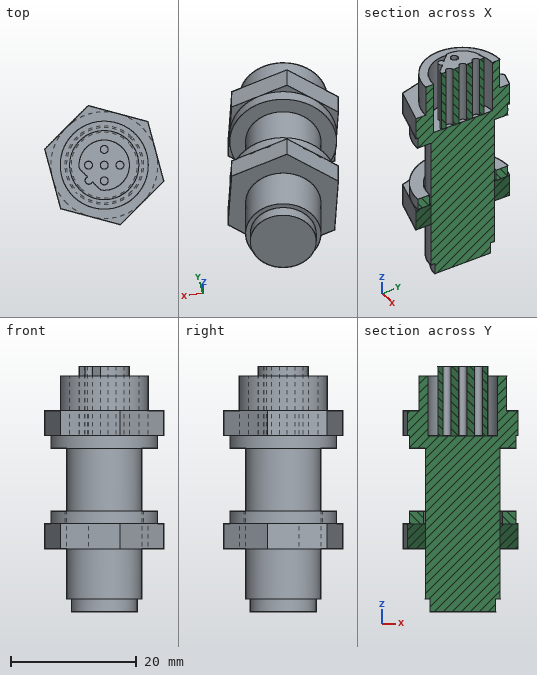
import cadquery as cq
import math

body_bottom = 2.0
nut_bottom = 10.0
hex_height = 4.0
washer_height = 2.0
flange_bottom = 26.0
collar_top = 37.5
insert_top = 39.0
nut_top = nut_bottom + hex_height
flange_top = flange_bottom + washer_height
head_top = flange_top + hex_height
socket_floor = flange_top

spigot_diameter = 10.5
body_diameter = 12.0
washer_bore = 12.5
flange_diameter = 17.0
collar_diameter = 14.0
socket_diameter = 11.0
insert_diameter = 8.0

hex_across_flats = 17.0
hex_across_corners = hex_across_flats / math.cos(math.radians(30))
hex_turn = -15.0

contact_diameter = 1.25
contact_spacing = 2.5
contact_positions = [
    (0, 0),
    (contact_spacing, 0),
    (-contact_spacing, 0),
    (0, contact_spacing),
    (0, -contact_spacing),
]
flat_distance = 3.2
key_diameter = 1.2
key_distance = 3.45
key_direction = 225.0


def cylinder(diameter, bottom, top):
    """Upright cylinder on the Z axis."""
    return cq.Workplane("XY").workplane(offset=bottom).circle(diameter / 2).extrude(top - bottom)


def hexagon(bottom):
    """Hexagonal prism on the Z axis, turned to the wrench position."""
    prism = cq.Workplane("XY").workplane(offset=bottom).polygon(6, hex_across_corners).extrude(hex_height)
    return prism.rotate((0, 0, 0), (0, 0, 1), hex_turn)


def make_housing():
    """Tubular body with spigot, flange, hexagonal head and collar around the socket."""
    housing = cylinder(spigot_diameter, 0, body_bottom)
    housing = housing.union(cylinder(body_diameter, body_bottom, flange_bottom))
    housing = housing.union(cylinder(flange_diameter, flange_bottom, flange_top))
    housing = housing.union(hexagon(flange_top))
    housing = housing.union(cylinder(collar_diameter, head_top, collar_top))
    return housing.cut(cylinder(socket_diameter, socket_floor, collar_top))


def make_insert():
    """Contact carrier standing on the socket floor, with a flat, a key rib and contact holes."""
    height = insert_top - socket_floor
    carrier = cylinder(insert_diameter, socket_floor, insert_top)

    base = cq.Workplane("XY").workplane(offset=socket_floor)
    beyond_flat = (
        base.center(flat_distance, 0)
        .rect(insert_diameter, 2 * insert_diameter, centered=(False, True))
        .extrude(height)
    )
    key = base.center(key_distance, 0).circle(key_diameter / 2).extrude(height)
    carrier = carrier.cut(beyond_flat).union(key)
    carrier = carrier.rotate((0, 0, 0), (0, 0, 1), key_direction)

    contact_holes = (
        cq.Workplane("XY").workplane(offset=socket_floor)
        .pushPoints(contact_positions)
        .circle(contact_diameter / 2)
        .extrude(height)
    )
    return carrier.cut(contact_holes)


def make_nut():
    """Hexagonal nut fitted on the body."""
    return hexagon(nut_bottom).cut(cylinder(body_diameter, nut_bottom, nut_top))


def make_washer():
    """Flat washer resting on the nut, with clearance around the body."""
    washer_top = nut_top + washer_height
    return cylinder(flange_diameter, nut_top, washer_top).cut(cylinder(washer_bore, nut_top, washer_top))


housing = make_housing()
insert = make_insert()
nut = make_nut()
washer = make_washer()

result = cq.Compound.makeCompound([housing.val(), insert.val(), nut.val(), washer.val()])